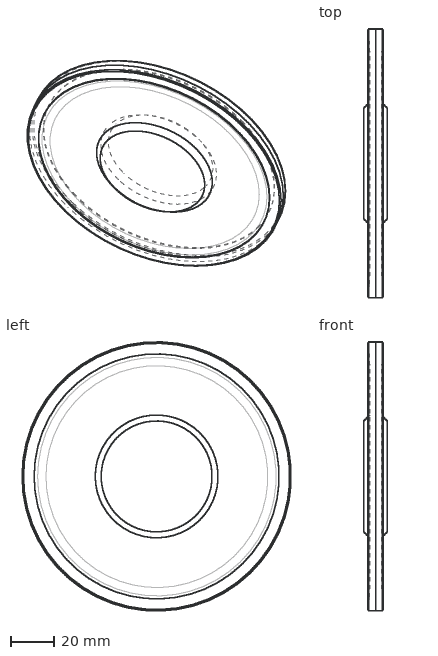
import cadquery as cq

outer_radius = 62.5
rim_edge_radius = 123.6 / 2
rim_half_width = 3.5
rim_chamfer_width = 0.4

recess_radius = 56.9
slope_outer_radius = 55.4
slope_inner_radius = 51.5
ledge_half_width = 3.0
web_half_width = 2.7

boss_half_width = 5.5
boss_top_radius = 25.7
boss_base_radius = boss_top_radius + boss_half_width - web_half_width


def make_half_disc(side):
    """One half of the disc, lying on the given side (-1 or +1) of X = 0."""
    half_profile = [
        (0, 0),
        (0, outer_radius),
        (rim_half_width - rim_chamfer_width, outer_radius),
        (rim_half_width, rim_edge_radius),
        (rim_half_width, recess_radius),
        (ledge_half_width, recess_radius),
        (ledge_half_width, slope_outer_radius),
        (web_half_width, slope_inner_radius),
        (web_half_width, boss_base_radius),
        (boss_half_width, boss_top_radius),
        (boss_half_width, 0),
    ]
    points = [(side * x, radius) for x, radius in half_profile]
    return cq.Workplane("XY").polyline(points).close().revolve(360, (0, 0, 0), (1, 0, 0))


half_discs = [make_half_disc(side) for side in (-1, 1)]

result = cq.Compound.makeCompound([half_disc.val() for half_disc in half_discs])